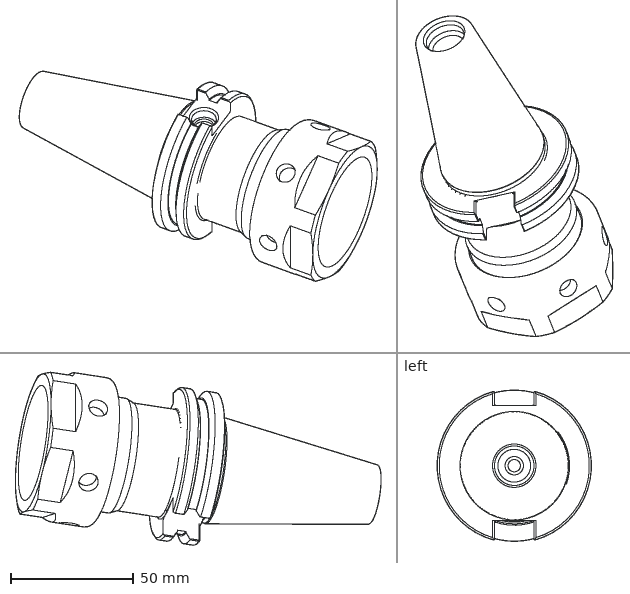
import cadquery as cq
import math

overall_length = 144.5

gauge_diameter = 44.5
gauge_x = 68.2
taper_slope = 7 / 48
shank_end_radius = gauge_diameter / 2 - gauge_x * taper_slope
shank_end_fillet = 1.2

relief_radius = 22.0
relief_run = 0.5
root_fillet = 0.7

flange_diameter = 63.3
flange_x = 71.4
flange_width = 15.9
flange_back_x = flange_x + flange_width
flange_front_edge = 0.5
flange_back_edge = 0.9
flange_edge_drop = 0.9
flange_center_x = flange_x + flange_width / 2
groove_diameter = 56.0
groove_flank_diameter = 57.2
groove_flank_angle = 30.0
groove_floor_width = 3.6
groove_flank_depth = (flange_diameter - groove_flank_diameter) / 2
groove_flank_run = groove_flank_depth * math.tan(math.radians(groove_flank_angle))
groove_start_x = flange_center_x - groove_floor_width / 2
groove_end_x = flange_center_x + groove_floor_width / 2

slot_width = 16.2
slot_corner_radius = 0.6
slot_rim_chamfer = 0.5
slot_face_chamfer = 0.7
top_slot_floor = 24.7
bottom_slot_floor = 22.5

slot_hole_mouth_diameter = 12.0
slot_hole_diameter = 10.1
slot_hole_depth = 4.6
slot_drill_diameter = 8.0
slot_drill_depth = 1.5

neck_diameter = 44.8
collar_diameter = 47.7
collar_ramp_x = 105.7
collar_x = 108.9

bore_mouth_diameter = 17.8
bore_counterbore_diameter = 16.2
bore_diameter = 13.5
bore_mouth_depth = 1.6
bore_counterbore_depth = 4.9
bore_depth = 43.3
center_hole_mouth_diameter = 7.5
center_hole_diameter = 5.0
center_hole_depth = 4.3
center_hole_tip_angle = 118.0

side_hole_tip_angle = 140.0

nut_diameter = 62.0
nut_x = 115.4
nut_mouth_diameter = 48.8
nut_fillet = 2.9
nut_edge_width = 0.9
flat_count = 6
flat_distance = 28.6
flat_x = 134.0
flat_ramp_width = 2.2
spanner_hole_diameter = 8.0
spanner_hole_x = 125.1
spanner_hole_depth = 5.5


def tip_length(diameter, tip_angle):
    """Length of the cone that a drill of this diameter and tip angle leaves."""
    return diameter / 2 / math.tan(math.radians(tip_angle / 2))


def revolve_about_x(profile):
    return profile.close().revolve(360, (0, 0, 0), (1, 0, 0))


def holder_blank():
    taper = (
        cq.Workplane("XY")
        .lineTo(0, shank_end_radius)
        .lineTo(gauge_x, gauge_diameter / 2)
        .lineTo(gauge_x + relief_run, relief_radius)
        .lineTo(flange_x - root_fillet, relief_radius)
        .radiusArc((flange_x, relief_radius + root_fillet), -root_fillet)
    )
    flange_radius = flange_diameter / 2
    flange = (
        taper.lineTo(flange_x, flange_radius - flange_edge_drop)
        .lineTo(flange_x + flange_front_edge, flange_radius)
        .lineTo(groove_start_x - groove_flank_run, flange_radius)
        .lineTo(groove_start_x, groove_flank_diameter / 2)
        .lineTo(groove_start_x, groove_diameter / 2)
        .lineTo(groove_end_x, groove_diameter / 2)
        .lineTo(groove_end_x, groove_flank_diameter / 2)
        .lineTo(groove_end_x + groove_flank_run, flange_radius)
        .lineTo(flange_back_x - flange_back_edge, flange_radius)
        .lineTo(flange_back_x, flange_radius - flange_edge_drop)
    )
    neck = (
        flange.lineTo(flange_back_x, neck_diameter / 2 + root_fillet)
        .radiusArc((flange_back_x + root_fillet, neck_diameter / 2), -root_fillet)
        .lineTo(collar_ramp_x, neck_diameter / 2)
        .lineTo(collar_x, collar_diameter / 2)
        .lineTo(overall_length, collar_diameter / 2)
        .lineTo(overall_length, 0)
    )
    return revolve_about_x(neck).faces("<X").edges().fillet(shank_end_fillet)


def drawbar_bore():
    """Stepped bore with a drilled centre hole in its floor."""
    chamfer_depth = (center_hole_mouth_diameter - center_hole_diameter) / 2
    ramp_depth = (bore_counterbore_diameter - bore_diameter) / 2
    drill_end_x = bore_depth + center_hole_depth
    profile = (
        cq.Workplane("XY")
        .lineTo(0, bore_mouth_diameter / 2)
        .lineTo(bore_mouth_depth, bore_counterbore_diameter / 2)
        .lineTo(bore_counterbore_depth, bore_counterbore_diameter / 2)
        .lineTo(bore_counterbore_depth + ramp_depth, bore_diameter / 2)
        .lineTo(bore_depth, bore_diameter / 2)
        .lineTo(bore_depth, center_hole_mouth_diameter / 2)
        .lineTo(bore_depth + chamfer_depth, center_hole_diameter / 2)
        .lineTo(drill_end_x, center_hole_diameter / 2)
        .lineTo(drill_end_x + tip_length(center_hole_diameter, center_hole_tip_angle), 0)
    )
    return revolve_about_x(profile)


def drive_slot(floor):
    """Slot across the flange, open upward, with rounded floor corners and chamfered wall edges."""
    half_width = slot_width / 2
    height = flange_diameter / 2
    rim_z = math.sqrt((flange_diameter / 2) ** 2 - half_width**2)
    channel = (
        cq.Workplane("XY")
        .box(flange_width, slot_width, height, centered=(False, True, False))
        .edges("|X and <Z")
        .fillet(slot_corner_radius)
        .translate((flange_x, 0, floor))
    )
    rim_chamfer = (
        cq.Workplane("YZ", origin=(flange_x, 0, 0))
        .moveTo(-half_width, rim_z - slot_rim_chamfer)
        .lineTo(half_width, rim_z - slot_rim_chamfer)
        .lineTo(half_width + 2 * slot_rim_chamfer, rim_z + slot_rim_chamfer)
        .lineTo(-half_width - 2 * slot_rim_chamfer, rim_z + slot_rim_chamfer)
        .close()
        .extrude(flange_width)
    )
    face_chamfer = (
        cq.Workplane("XY", origin=(0, 0, floor))
        .moveTo(flange_x, -half_width - slot_face_chamfer)
        .lineTo(flange_x + slot_face_chamfer, -half_width)
        .lineTo(flange_x + slot_face_chamfer, half_width)
        .lineTo(flange_x, half_width + slot_face_chamfer)
        .close()
        .extrude(height)
    )
    return channel.union(rim_chamfer).union(face_chamfer)


def slot_hole():
    """Chamfered hole with a smaller drilled hole in its floor, on the Z axis below Z = 0."""
    mouth_radius = slot_hole_mouth_diameter / 2
    hole_radius = slot_hole_diameter / 2
    drill_radius = slot_drill_diameter / 2
    drill_end = slot_hole_depth + slot_drill_depth
    return (
        cq.Workplane("XZ")
        .lineTo(mouth_radius, 0)
        .lineTo(hole_radius, hole_radius - mouth_radius)
        .lineTo(hole_radius, -slot_hole_depth)
        .lineTo(drill_radius, -slot_hole_depth)
        .lineTo(drill_radius, -drill_end)
        .lineTo(0, -drill_end - tip_length(slot_drill_diameter, side_hole_tip_angle))
        .close()
        .revolve(360, (0, 0, 0), (0, 1, 0))
        .translate((flange_center_x, 0, top_slot_floor))
    )


def make_holder():
    bottom_slot = drive_slot(bottom_slot_floor).rotate((0, 0, 0), (1, 0, 0), 180)
    return (
        holder_blank()
        .cut(drawbar_bore())
        .cut(drive_slot(top_slot_floor))
        .cut(bottom_slot)
        .cut(slot_hole())
    )


def nut_blank():
    """Ring around the collar, rounded at the back and bevelled at the front down to the flats."""
    nut_radius = nut_diameter / 2
    bore_radius = collar_diameter / 2
    mouth_radius = nut_mouth_diameter / 2
    profile = (
        cq.Workplane("XY")
        .moveTo(nut_x + mouth_radius - bore_radius, bore_radius)
        .lineTo(nut_x, mouth_radius)
        .lineTo(nut_x, nut_radius - nut_fillet)
        .radiusArc((nut_x + nut_fillet, nut_radius), nut_fillet)
        .lineTo(overall_length - nut_edge_width, nut_radius)
        .lineTo(overall_length, flat_distance)
        .lineTo(overall_length, bore_radius)
    )
    return revolve_about_x(profile)


def flat_cutter():
    """Removes one wrench flat, with a ramp at its back, on the -Y side."""
    ramp_height = nut_diameter / 2 - flat_distance
    return (
        cq.Workplane("XY")
        .moveTo(flat_x, -flat_distance)
        .lineTo(flat_x - flat_ramp_width, -flat_distance - ramp_height)
        .lineTo(overall_length, -flat_distance - ramp_height)
        .lineTo(overall_length, -flat_distance)
        .close()
        .extrude(nut_diameter / 2, both=True)
    )


def spanner_hole():
    """Blind drilled hole going inward from the -Y side."""
    hole_radius = spanner_hole_diameter / 2
    floor_y = -nut_diameter / 2 + spanner_hole_depth
    return (
        cq.Workplane("XY")
        .moveTo(0, -nut_diameter / 2)
        .lineTo(hole_radius, -nut_diameter / 2)
        .lineTo(hole_radius, floor_y)
        .lineTo(0, floor_y + tip_length(spanner_hole_diameter, side_hole_tip_angle))
        .close()
        .revolve(360, (0, 0, 0), (0, 1, 0))
        .translate((spanner_hole_x, 0, 0))
    )


def make_nut():
    nut = nut_blank()
    for index in range(flat_count):
        angle = index * 360 / flat_count
        nut = nut.cut(flat_cutter().rotate((0, 0, 0), (1, 0, 0), angle))
        nut = nut.cut(spanner_hole().rotate((0, 0, 0), (1, 0, 0), angle))
    return nut


holder = make_holder()
nut = make_nut()

result = cq.Compound.makeCompound([holder.val(), nut.val()])